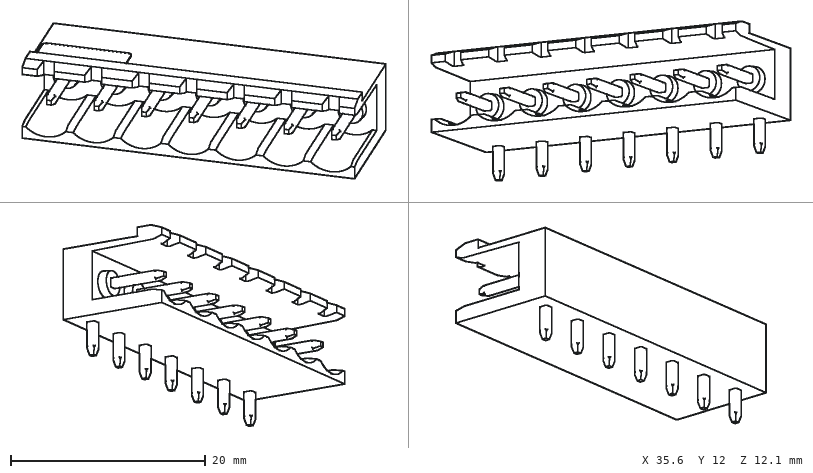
import cadquery as cq


length = 35.55
pin_count = 7
pitch = length / pin_count
pin_x = [(i + 0.5) * pitch for i in range(pin_count)]

depth = 12.0
body_height = 7.57
back_wall = 3.52
cavity_depth = depth - back_wall
floor_height = 1.6
floor_bevel_depth = 1.15
floor_bevel_drop = 0.25
roof_underside_back = 6.83
roof_underside_front = 6.97

rail_top = 8.55
rail_depth = 3.0
rail_top_bevel_depth = 1.28
rail_nose_top = 8.07
rail_nose_bottom = 7.3
rail_lower_bevel_depth = 1.0

notch_depth = rail_top_bevel_depth
notch_back_width = 1.1
notch_front_width = 1.85

pin_z = 3.85
trough_radius = 3.05
trough_mouth_radius = 3.13
trough_mouth_drop = 0.2

collar_length = 0.95
collar_base_radius = 1.42
collar_tip_radius = 1.3

plate_left = 0.3
plate_right = 9.8
plate_front = 3.5
plate_back = 7.08
plate_height = 0.1
plate_corner = 0.5

pin_width = 1.0
pin_edge_radius = 0.2
pin_tip_width = 0.5
pin_tip_length = 0.92
contact_tip_y = 1.2
leg_y = 9.95
leg_tip_z = -3.52


def front_plane(y):
    """Plane facing the mating side, with local axes X and Z and extrusion toward -Y."""
    return cq.Workplane("XZ", origin=(0, y, 0))


def housing_shell():
    """C-shaped side profile with the latch rail, extruded along the row."""
    profile = [
        (0, 0),
        (depth, 0),
        (depth, body_height),
        (rail_depth, body_height),
        (rail_depth, rail_top),
        (rail_top_bevel_depth, rail_top),
        (0, rail_nose_top),
        (0, rail_nose_bottom),
        (rail_lower_bevel_depth, roof_underside_front),
        (cavity_depth, roof_underside_back),
        (cavity_depth, floor_height),
        (floor_bevel_depth, floor_height),
        (0, floor_height - floor_bevel_drop),
    ]
    return cq.Workplane("YZ").polyline(profile).close().extrude(length)


def trough(x):
    """Cylindrical trough whose mouth widens and dips over the floor bevel."""
    bore = front_plane(cavity_depth).center(x, pin_z).circle(trough_radius).extrude(cavity_depth)
    mouth = (
        front_plane(floor_bevel_depth)
        .center(x, pin_z)
        .circle(trough_radius)
        .workplane(offset=floor_bevel_depth)
        .center(0, -trough_mouth_drop)
        .circle(trough_mouth_radius)
        .loft()
    )
    lower_half = cq.Workplane("XY").box(length, depth, pin_z, centered=False)
    lower_half = lower_half.translate((x - length / 2, 0, 0))
    return bore.union(mouth).intersect(lower_half)


def rail_notch(x):
    """Trapezoidal notch through the nose of the rail, wider toward the front."""
    outline = [
        (x - notch_front_width / 2, 0),
        (x + notch_front_width / 2, 0),
        (x + notch_back_width / 2, notch_depth),
        (x - notch_back_width / 2, notch_depth),
    ]
    cutter = cq.Workplane("XY", origin=(0, 0, pin_z)).polyline(outline).close()
    return cutter.extrude(rail_top - pin_z)


def collar(x):
    """Slightly tapered round collar standing on the back wall of the cavity."""
    return (
        front_plane(cavity_depth)
        .center(x, pin_z)
        .circle(collar_base_radius)
        .workplane(offset=collar_length)
        .circle(collar_tip_radius)
        .loft()
    )


def label_plate():
    """Thin raised plate with rounded corners."""
    width = plate_right - plate_left
    plate = cq.Workplane("XY").box(width, plate_back - plate_front, plate_height, centered=False)
    plate = plate.edges("|Z").fillet(plate_corner)
    return plate.translate((plate_left, plate_front, body_height))


def pointed_bar(plane, bar_length):
    """Square bar with rounded edges that starts at the plane and ends in a blunt pyramid tip."""
    shank_length = bar_length - pin_tip_length
    bar = cq.Workplane(plane).rect(pin_width, pin_width).extrude(bar_length)
    bar = bar.edges(cq.selectors.ParallelDirSelector(plane.zDir)).fillet(pin_edge_radius)
    shank = cq.Workplane(plane).rect(pin_width, pin_width).extrude(shank_length)
    tip = (
        cq.Workplane(plane)
        .workplane(offset=shank_length)
        .rect(pin_width, pin_width)
        .workplane(offset=pin_tip_length)
        .rect(pin_tip_width, pin_tip_width)
        .loft()
    )
    return bar.intersect(shank.union(tip))


def contact_pin(x):
    """L-shaped pin: a contact toward the front and a solder leg through the bottom."""
    contact_back = leg_y + pin_width / 2
    leg_top = pin_z + pin_width / 2
    contact_plane = cq.Plane(origin=(x, contact_back, pin_z), xDir=(1, 0, 0), normal=(0, -1, 0))
    leg_plane = cq.Plane(origin=(x, leg_y, leg_top), xDir=(1, 0, 0), normal=(0, 0, -1))
    contact = pointed_bar(contact_plane, contact_back - contact_tip_y)
    leg = pointed_bar(leg_plane, leg_top - leg_tip_z)
    return contact.union(leg)


pins = [contact_pin(x) for x in pin_x]

housing = housing_shell().union(label_plate())
for x, pin in zip(pin_x, pins):
    housing = housing.cut(trough(x)).cut(rail_notch(x)).union(collar(x)).cut(pin)

result = cq.Compound.makeCompound([housing.val(), *[pin.val() for pin in pins]])